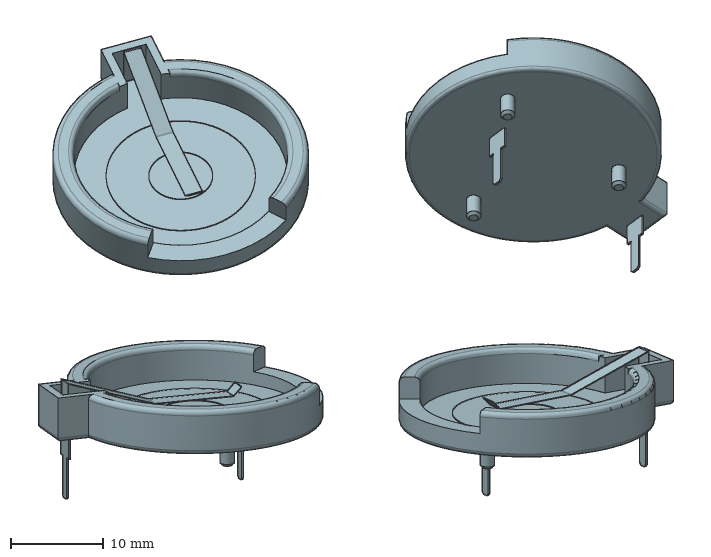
import cadquery as cq
import math

disc_radius = 13.88
tray_height = 4.95
pocket_radius = 11.6
floor_height = 1.0
top_rounding = 0.6
bottom_rounding = 0.43
ledge_height = 2.48
ledge_half_angle = 35.2

housing_end_x = -17.1
housing_width = 5.82
housing_wall = 0.95

ring_outer_diameter = 16.2
ring_inner_diameter = 6.95
ring_height = 0.1

pin_diameter = 1.58
pin_length = 2.65
pin_circle_radius = 9.5
pin_chamfer = 0.3
pin_angles = (30, 150, 270)

spring_thickness = 0.1
spring_width = 1.98
spring_top = 5.9
spring_back_x = -15.2
spring_bend_x = -5.08
spring_bend_z = 2.55
spring_contact_x = 4.1
spring_contact_z = 2.42
spring_tip_x = 5.05
spring_tip_z = 3.38
terminal_thickness = 0.22
terminal_length = 7.37
shoulder_width = 2.4
shoulder_length = 2.65
blade_width = 1.2
blade_chamfer = 0.28
second_terminal_x = 5.2

overlap = 0.05


def cylinder(radius, bottom, top):
    return cq.Workplane("XY").workplane(offset=bottom).circle(radius).extrude(top - bottom)


def block(x_start, x_end, width, bottom, top):
    return (
        cq.Workplane("XY")
        .box(x_end - x_start, width, top - bottom, centered=(False, True, False))
        .translate((x_start, 0, bottom))
    )


def make_tray():
    """Round cup with a square housing and a lowered ledge on the +X side."""
    disc = cylinder(disc_radius, 0, tray_height).faces(">Z").edges().fillet(top_rounding)
    housing = block(housing_end_x, -pocket_radius, housing_width, 0, tray_height)
    tray = disc.union(housing).faces("<Z").edges().fillet(bottom_rounding)

    pocket = cylinder(pocket_radius, floor_height, tray_height)
    flare = (
        cylinder(pocket_radius + top_rounding, tray_height - top_rounding, tray_height)
        .cut(rim_rounding_ring())
        .cut(block(housing_end_x, 0, housing_width, 0, tray_height))
    )
    cavity = block(
        housing_end_x + housing_wall, 0, housing_width - 2 * housing_wall, floor_height, tray_height
    )
    tray = tray.cut(pocket).cut(flare).cut(cavity)
    return tray.cut(ledge_wedge())


def make_contact_ring():
    ring_bottom = floor_height - overlap
    ring_top = floor_height + ring_height
    ring = cylinder(ring_outer_diameter / 2, ring_bottom, ring_top)
    return ring.cut(cylinder(ring_inner_diameter / 2, ring_bottom, ring_top))


def rim_rounding_ring():
    """Torus that leaves a convex rounding on the inner rim edge."""
    return (
        cq.Workplane("XZ")
        .center(pocket_radius + top_rounding, tray_height - top_rounding)
        .circle(top_rounding)
        .revolve(360, (-pocket_radius - top_rounding, 0), (-pocket_radius - top_rounding, 1))
    )


def ledge_wedge():
    """Sector above the ledge, bounded by two radial planes."""
    reach = 2 * disc_radius
    half_width = reach * math.tan(math.radians(ledge_half_angle))
    return (
        cq.Workplane("XY")
        .workplane(offset=ledge_height)
        .polyline([(0, 0), (reach, -half_width), (reach, half_width)])
        .close()
        .extrude(tray_height)
    )


def make_pin(angle):
    pin = cylinder(pin_diameter / 2, -pin_length, overlap).faces("<Z").chamfer(pin_chamfer)
    x = pin_circle_radius * math.cos(math.radians(angle))
    y = pin_circle_radius * math.sin(math.radians(angle))
    return pin.translate((x, y, 0))


def make_terminal(x_start):
    """Shouldered solder blade below the tray."""
    x_end = x_start + terminal_thickness
    shoulder = block(x_start, x_end, shoulder_width, -shoulder_length, overlap)
    blade = block(x_start, x_end, blade_width, -terminal_length, overlap)
    blade = blade.faces("<Z").edges("|X").chamfer(blade_chamfer)
    return shoulder.union(blade)


def make_spring():
    """Bent strip: a riser, a falling arm, a nearly level arm and an upturned tip."""
    upper_line = [
        (spring_back_x, spring_top),
        (spring_bend_x, spring_bend_z),
        (spring_contact_x, spring_contact_z),
        (spring_tip_x, spring_tip_z),
    ]
    lower_line = [(x, z - spring_thickness) for x, z in reversed(upper_line)]
    arms = (
        cq.Workplane("XZ")
        .polyline(upper_line + lower_line)
        .close()
        .extrude(spring_width / 2, both=True)
    )
    riser = block(
        spring_back_x,
        spring_back_x + spring_thickness,
        spring_width,
        floor_height - overlap,
        spring_top - spring_thickness,
    )
    return arms.union(riser)


result = make_tray().union(make_contact_ring()).union(make_spring())
for terminal_x in (spring_back_x, second_terminal_x):
    result = result.union(make_terminal(terminal_x))
for pin_angle in pin_angles:
    result = result.union(make_pin(pin_angle))